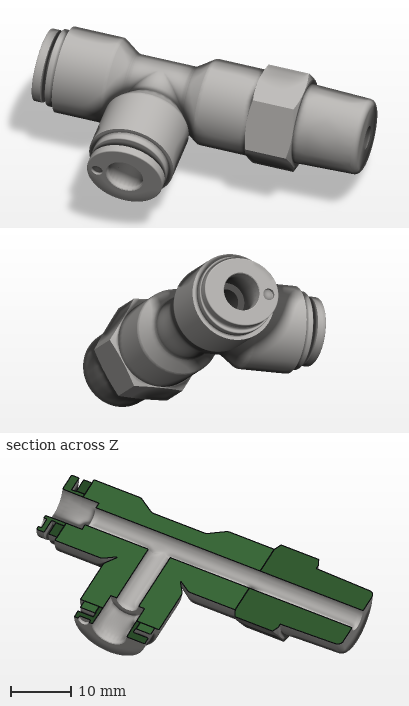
import cadquery as cq
import math


overall_length = 56.45
port_reach = 20.6
stud_end = overall_length - port_reach

button_flange_thickness = 1.45
collar_face_depth = 2.25
body_face_depth = 3.8
tube_stop_depth = 6.8

arm_diameter = 14.7
waist_diameter = 10.55
waist_half_length = 5.0
shoulder_distance = 8.1
shoulder_fillet = 1.0
bore_diameter = 4.0
tube_diameter = 6.2

collar_diameter = 13.15
collar_edge_fillet = 0.15

button_width = 13.15
button_height = 11.5
button_edge_fillet = 0.15
button_neck_diameter = 7.5
button_mouth_chamfer = 0.1
lead_in_diameter = 6.3
lead_in_length = collar_face_depth
marker_diameter = 2.0
marker_offset = 4.8
marker_depth = 0.55

hex_start = 16.75
hex_length = 8.1
hex_flats = 15.0
hex_corner_diameter = hex_flats / math.cos(math.pi / 6)
hex_chamfer_length = 0.5
thread_start = hex_start + hex_length
thread_root_diameter = 13.5
thread_taper = 1 / 16
thread_end_fillet = 1.0


def rod_along_x(diameter, start, end):
    """Cylinder on the X axis."""
    return cq.Workplane("YZ", origin=(start, 0, 0)).circle(diameter / 2).extrude(end - start)


def revolve_about_x(points):
    """Solid of revolution about the X axis from (x, radius) points."""
    return cq.Workplane("XY").polyline(points).close().revolve(360, (0, 0, 0), (1, 0, 0))


def to_branch(shape):
    """Turn a shape from the -X port to the branch port on -Y."""
    return shape.rotate((0, 0, 0), (0, 0, 1), 90)


def make_arm(end_distance):
    """Arm from the tee centre toward -X: waist, cone and full-width sleeve, both cone ends rounded."""
    arm = revolve_about_x([
        (0, 0),
        (0, waist_diameter / 2),
        (-waist_half_length, waist_diameter / 2),
        (-shoulder_distance, arm_diameter / 2),
        (-end_distance, arm_diameter / 2),
        (-end_distance, 0),
    ])
    reach = shoulder_distance + shoulder_fillet
    cone_region = cq.selectors.BoxSelector(
        (-reach, -arm_diameter, -arm_diameter),
        (-waist_half_length + shoulder_fillet, arm_diameter, arm_diameter),
        boundingbox=True,
    )
    return arm.edges("%CIRCLE").edges(cone_region).fillet(shoulder_fillet)


def make_body():
    """Tee body with a tube socket in each port and passages joining them to the stud."""
    port_face = port_reach - body_face_depth
    port_arm = make_arm(port_face)
    stud_arm = make_arm(hex_start).rotate((0, 0, 0), (0, 0, 1), 180)
    body = port_arm.union(stud_arm).union(to_branch(port_arm))

    socket = rod_along_x(tube_diameter, -port_face, tube_stop_depth - port_reach)
    passage = rod_along_x(bore_diameter, -port_face, 0)
    body = body.cut(rod_along_x(bore_diameter, -port_face, hex_start))
    return body.cut(socket).cut(to_branch(socket)).cut(to_branch(passage))


def make_collar():
    """Ring on the -X port face that carries the release button."""
    outer_face = collar_face_depth - port_reach
    inner_face = body_face_depth - port_reach
    ring = rod_along_x(collar_diameter, outer_face, inner_face)
    ring = ring.faces("<X").edges().fillet(collar_edge_fillet)
    return ring.cut(rod_along_x(button_neck_diameter, outer_face, inner_face))


def make_button():
    """Release button of the -X port: oval flange with a neck through the collar."""
    flange = (
        cq.Workplane("YZ", origin=(-port_reach, 0, 0))
        .ellipse(button_width / 2, button_height / 2)
        .extrude(button_flange_thickness)
        .faces("<X").edges().fillet(button_edge_fillet)
    )
    inner_end = body_face_depth - port_reach
    button = flange.union(rod_along_x(button_neck_diameter, -port_reach + button_flange_thickness, inner_end))
    tube_bore = revolve_about_x([
        (-port_reach, 0),
        (-port_reach, lead_in_diameter / 2),
        (lead_in_length - port_reach, tube_diameter / 2),
        (inner_end, tube_diameter / 2),
        (inner_end, 0),
    ])
    button = button.cut(tube_bore)
    button = button.faces("<X").edges("%CIRCLE").chamfer(button_mouth_chamfer)
    marker = rod_along_x(marker_diameter, -port_reach, marker_depth - port_reach)
    return button.cut(marker.translate((0, -marker_offset, 0)))


def make_stud():
    """Hexagon with both ends chamfered, tapered thread blank and through bore."""
    hexagon = (
        cq.Workplane("YZ", origin=(hex_start, 0, 0))
        .polygon(6, hex_corner_diameter)
        .extrude(hex_length)
    )
    hexagon = hexagon.intersect(revolve_about_x([
        (hex_start, 0),
        (hex_start, hex_flats / 2),
        (hex_start + hex_chamfer_length, hex_corner_diameter / 2),
        (thread_start - hex_chamfer_length, hex_corner_diameter / 2),
        (thread_start, hex_flats / 2),
        (thread_start, 0),
    ]))
    thread_end_diameter = thread_root_diameter - thread_taper * (stud_end - thread_start)
    thread = revolve_about_x([
        (thread_start, 0),
        (thread_start, thread_root_diameter / 2),
        (stud_end, thread_end_diameter / 2),
        (stud_end, 0),
    ])
    thread = thread.faces(">X").edges().fillet(thread_end_fillet)
    return hexagon.union(thread).cut(rod_along_x(bore_diameter, hex_start, stud_end))


body = make_body()
stud = make_stud()
collars = [make_collar(), to_branch(make_collar())]

rolled_button = make_button().rotate((0, 0, 0), (1, 0, 0), 180)
buttons = [make_button(), to_branch(rolled_button)]

result = cq.Compound.makeCompound([
    body.val(),
    stud.val(),
    *[collar.val() for collar in collars],
    *[button.val() for button in buttons],
])